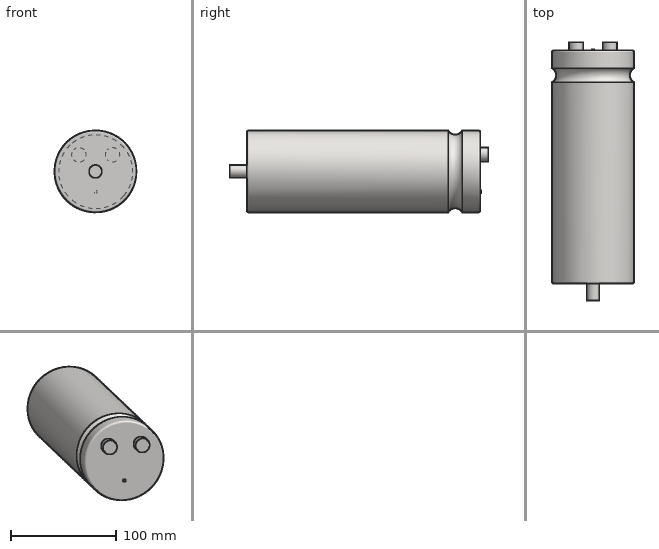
import cadquery as cq

can_radius = 39.0
total_length = 245.5
stud_length = 16.2
terminal_length = 7.5
rim_fillet = 2.0

groove_width = 13.5
groove_depth = 4.0
groove_to_terminal_face = 23.8

stud_diameter = 12.3
terminal_diameter = 13.8
terminal_offset = 16.0
vent_diameter = 2.7
vent_height = 0.7
vent_drop = 19.2

stud_tip = -total_length / 2
stud_face = stud_tip + stud_length
terminal_face = total_length / 2 - terminal_length
groove_middle = terminal_face - groove_to_terminal_face


def post(x, z, diameter, start, end):
    """Round post along Y from start to end, centred at (x, z)."""
    circle = cq.Workplane("XZ", origin=(x, start, z)).circle(diameter / 2)
    return circle.extrude(start - end)


def make_can():
    """Cylinder with rounded rims and an arc-shaped groove, revolved about Y."""
    can = (
        cq.Workplane("XY")
        .moveTo(0, stud_face)
        .lineTo(can_radius, stud_face)
        .lineTo(can_radius, groove_middle - groove_width / 2)
        .threePointArc(
            (can_radius - groove_depth, groove_middle),
            (can_radius, groove_middle + groove_width / 2),
        )
        .lineTo(can_radius, terminal_face)
        .lineTo(0, terminal_face)
        .close()
        .revolve(360, (0, 0, 0), (0, 1, 0))
    )
    return can.faces("<Y or >Y").edges().fillet(rim_fillet)


result = make_can()
result = result.union(post(0, 0, stud_diameter, stud_face, stud_tip))
for side in (-1, 1):
    terminal = post(
        side * terminal_offset, terminal_offset, terminal_diameter, terminal_face, total_length / 2
    )
    result = result.union(terminal)
result = result.union(post(0, -vent_drop, vent_diameter, terminal_face, terminal_face + vent_height))